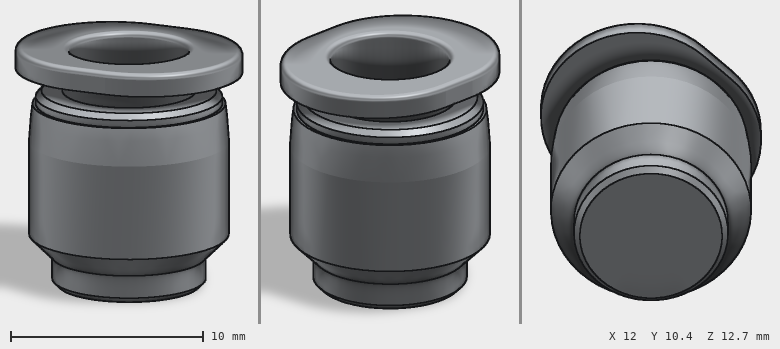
import cadquery as cq

edge_size = 0.3

spigot_top = 1.5
shoulder_top = 2.7
barrel_top = 7.7
crown_top = 9.7
collar_top = 10.39
flange_bottom = 11.5
total_height = 12.7

spigot_radius = 4.0
barrel_radius = 5.201
crown_radius = 5.02
crown_bulge = 0.03
collar_radius = 4.85
sleeve_radius = 3.47
sleeve_fillet = 0.1
bore_radius = 3.1

flange_length = 12.0
flange_width = 10.0

bore_floor = shoulder_top


def make_body():
    """Revolve the stepped body and the release sleeve about Z."""
    crown_mid_radius = (barrel_radius + crown_radius) / 2 + crown_bulge
    crown_mid_height = (barrel_top + crown_top) / 2
    return (
        cq.Workplane("XZ")
        .lineTo(spigot_radius - edge_size, 0)
        .lineTo(spigot_radius, edge_size)
        .lineTo(spigot_radius, spigot_top)
        .lineTo(barrel_radius, shoulder_top)
        .lineTo(barrel_radius, barrel_top)
        .threePointArc((crown_mid_radius, crown_mid_height), (crown_radius, crown_top))
        .lineTo(collar_radius, crown_top)
        .lineTo(collar_radius, collar_top - edge_size)
        .lineTo(collar_radius - edge_size, collar_top)
        .lineTo(sleeve_radius, collar_top)
        .lineTo(sleeve_radius, flange_bottom - sleeve_fillet)
        .radiusArc((sleeve_radius + sleeve_fillet, flange_bottom), sleeve_fillet)
        .lineTo(0, flange_bottom)
        .close()
        .revolve(360, (0, 0, 0), (0, 1, 0))
    )


def make_flange():
    """Build the oblong flange with a rounded top edge."""
    return (
        cq.Workplane("XY", origin=(0, 0, flange_bottom))
        .slot2D(flange_length, flange_width)
        .extrude(total_height - flange_bottom)
        .faces(">Z")
        .edges()
        .fillet(edge_size)
    )


def make_bore():
    """Build the tube bore, flared at its mouth by a convex rounded lip."""
    mouth_radius = bore_radius + edge_size
    lip_bottom = total_height - edge_size
    return (
        cq.Workplane("XZ")
        .moveTo(0, bore_floor)
        .lineTo(bore_radius, bore_floor)
        .lineTo(bore_radius, lip_bottom)
        .radiusArc((mouth_radius, total_height), edge_size)
        .lineTo(0, total_height)
        .close()
        .revolve(360, (0, 0, 0), (0, 1, 0))
    )


result = make_body().union(make_flange()).cut(make_bore())